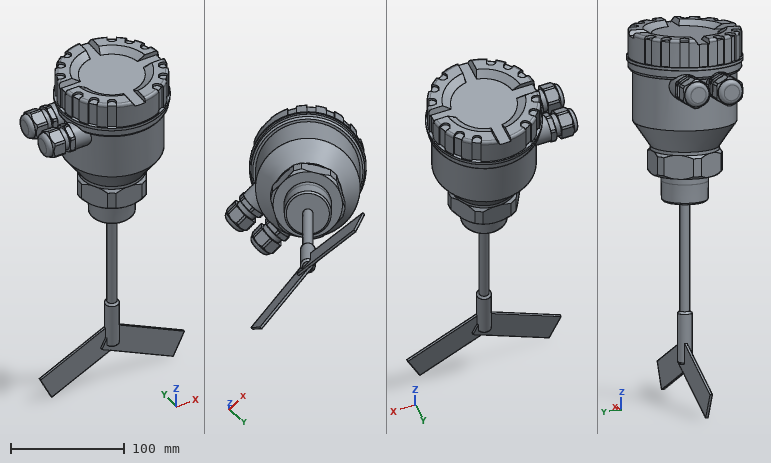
import cadquery as cq
import math


top_z = 338.3
cap_radius = 50.0
cap_edge = 2.7
flange_radius = 51.5
flange_top_z = 313.5
flange_bottom_z = 311.0
collar_bottom_z = 304.5
collar_taper_radius = 48.5
body_top_z = 302.0
body_radius = 46.0
cone_top_z = 255.8
neck_radius = 30.5
neck_top_z = 233.0

recess_depth = 4.5
recess_floor_radius = 29.5
recess_rim_radius = 37.0
cap_slot_half_width = 5.0
cap_slot_side_lean = 2.7
cap_slot_count = 4

groove_radius = 4.0
groove_axis_radius = 45.7
groove_pitch_angle = 20
grooves_per_side = 7
groove_floor_radius = 48.5
notch_depth = 2.5

hex_top_z = 230.0
hex_bottom_z = 208.7
hex_across_flats = 60.5
hex_across_cut_corners = 65.5
hex_edge = hex_across_cut_corners / 2 - neck_radius
thread_radius = 21.0
thread_taper_top_z = 201.5
thread_end_radius = 20.5
thread_edge = 1.7
thread_bottom_z = 183.5

shaft_radius = 4.57
holder_radius = 6.6
holder_edge = holder_radius - shaft_radius
holder_top_z = 84.0
holder_bottom_z = 36.2

blade_length = 80.5
blade_width = 26.0
blade_thickness = 2.5
blade_droop_angle = 26
blade_tip_x = 72.5

gland_z = 295.5
gland_offset_y = 15.5
gland_tip_x = -79.5
cap_nut_start_x = -75.0
cap_nut_end_x = -63.0
gland_hex_start_x = -58.0
gland_hex_end_x = -52.8
gland_across_flats = 24.0
gland_across_cut_corners = 26.5
cap_nut_edge = 1.7
gland_hex_edge = 0.7
gland_tip_radius = 7.0
gland_dome_radius = 11.0
gland_dome_middle = (10.0, 1.5)
gland_neck_radius = 10.0
gland_boss_radius = 12.2


def revolved(profile):
    """Solid of revolution about Z from (radius, z) points, closed along the axis."""
    points = [(0, profile[0][1])] + profile + [(0, profile[-1][1])]
    return cq.Workplane("XZ").polyline(points).close().revolve(360, (0, 0), (0, 1))


def hexagon(across_flats, across_cut_corners, height, top_edge, bottom_edge):
    """Hexagonal prism on Z = 0, corners toward +-X cut flat, end corners bevelled by cones."""
    flats = cq.Workplane("XY").polygon(6, across_flats / math.cos(math.pi / 6)).extrude(height)
    corner_cuts = (
        cq.Workplane("XY")
        .polygon(6, across_cut_corners / math.cos(math.pi / 6))
        .extrude(height)
        .rotate((0, 0, 0), (0, 0, 1), 30)
    )
    tip_radius = across_cut_corners / 2
    limit = revolved([
        (tip_radius - bottom_edge, 0),
        (tip_radius + height, height + bottom_edge),
    ]).intersect(revolved([
        (tip_radius + height, -top_edge),
        (tip_radius - top_edge, height),
    ]))
    return flats.intersect(corner_cuts).intersect(limit)


def housing():
    return revolved([
        (neck_radius, hex_top_z),
        (neck_radius, neck_top_z),
        (body_radius, cone_top_z),
        (body_radius, body_top_z),
        (collar_taper_radius, body_top_z),
        (cap_radius, collar_bottom_z),
        (cap_radius, flange_bottom_z),
        (flange_radius, flange_bottom_z),
        (flange_radius, flange_top_z),
        (cap_radius, flange_top_z),
        (cap_radius, top_z - cap_edge),
        (cap_radius, top_z),
    ]).faces(">Z").edges().fillet(cap_edge)


def cap_recess():
    """Dished round recess, crossed by slots that each have one leaning side."""
    floor_z = top_z - recess_depth
    cut = revolved([(recess_floor_radius, floor_z), (recess_rim_radius, top_z)])
    slot = (
        cq.Workplane("XZ")
        .polyline([
            (-cap_slot_half_width, floor_z),
            (cap_slot_half_width, floor_z),
            (cap_slot_half_width, top_z),
            (-cap_slot_half_width - cap_slot_side_lean, top_z),
        ])
        .close()
        .extrude(flange_radius)
    )
    for index in range(cap_slot_count):
        cut = cut.union(slot.rotate((0, 0, 0), (0, 0, 1), index * 360 / cap_slot_count))
    return cut


def finger_groove():
    """Shallow groove in the cap side, ending at the top in a deeper round-ended notch."""
    notch = slot_to_rim(groove_axis_radius, top_z - notch_depth)
    notch = notch.union(
        cq.Workplane("XY", origin=(groove_axis_radius, 0, top_z - notch_depth))
        .circle(groove_radius)
        .extrude(notch_depth)
    )
    return notch.union(slot_to_rim(groove_floor_radius, flange_top_z))


def slot_to_rim(inner_radius, floor_z):
    """Block along +X, as wide as a groove, from a radius outward and a level up to the top."""
    return (
        cq.Workplane("XY", origin=((inner_radius + flange_radius) / 2, 0, floor_z))
        .rect(flange_radius - inner_radius, 2 * groove_radius)
        .extrude(top_z - floor_z)
    )


def finger_grooves():
    groove = finger_groove()
    grooves = cq.Workplane("XY")
    middle = (grooves_per_side - 1) / 2
    for side in (0, 180):
        for index in range(grooves_per_side):
            angle = side + (index - middle) * groove_pitch_angle
            grooves = grooves.add(groove.rotate((0, 0, 0), (0, 0, 1), angle))
    return grooves.combine()


def process_connection():
    """Hexagon with flattened corners above a tapered threaded end."""
    nut = hexagon(
        hex_across_flats,
        hex_across_cut_corners,
        hex_top_z - hex_bottom_z,
        hex_edge,
        hex_edge,
    )
    threaded_end = revolved([
        (thread_end_radius - thread_edge, thread_bottom_z),
        (thread_end_radius, thread_bottom_z + thread_edge),
        (thread_radius, thread_taper_top_z),
        (thread_radius, hex_bottom_z),
    ])
    return nut.translate((0, 0, hex_bottom_z)).union(threaded_end)


def shaft():
    """Shaft down to the chamfered blade holder."""
    return revolved([
        (shaft_radius, holder_bottom_z),
        (holder_radius, holder_bottom_z + holder_edge),
        (holder_radius, holder_top_z - holder_edge),
        (shaft_radius, holder_top_z),
        (shaft_radius, thread_bottom_z),
    ])


def blades():
    """Two flat blades drooping to either side, back to back on the plane Y = 0."""
    droop = math.radians(blade_droop_angle)
    lowest_corner_x = blade_tip_x - blade_width * math.sin(droop)
    right_blade = (
        cq.Workplane("XY")
        .box(blade_length, blade_thickness, blade_width, centered=False)
        .translate((-blade_length, -blade_thickness, 0))
        .rotate((0, 0, 0), (0, 1, 0), blade_droop_angle)
        .translate((lowest_corner_x, 0, 0))
    )
    left_blade = right_blade.rotate((0, 0, 0), (0, 0, 1), 180)
    return right_blade.union(left_blade)


def gland():
    """Cable gland along Z from its tip at Z = 0 to inside the housing."""
    cap_nut_start = cap_nut_start_x - gland_tip_x
    cap_nut_end = cap_nut_end_x - gland_tip_x
    hex_start = gland_hex_start_x - gland_tip_x
    hex_end = gland_hex_end_x - gland_tip_x
    boss_end = -neck_radius - gland_tip_x
    core = (
        cq.Workplane("XZ")
        .lineTo(gland_tip_radius, 0)
        .threePointArc(gland_dome_middle, (gland_dome_radius, cap_nut_start))
        .lineTo(gland_dome_radius, cap_nut_end)
        .lineTo(gland_neck_radius, cap_nut_end)
        .lineTo(gland_neck_radius, hex_end)
        .lineTo(gland_boss_radius, hex_end)
        .lineTo(gland_boss_radius, boss_end)
        .lineTo(0, boss_end)
        .close()
        .revolve(360, (0, 0), (0, 1))
    )
    cap_nut = hexagon(
        gland_across_flats, gland_across_cut_corners, cap_nut_end - cap_nut_start, 0, cap_nut_edge
    )
    body_hex = hexagon(
        gland_across_flats, gland_across_cut_corners, hex_end - hex_start, 0, gland_hex_edge
    )
    return (
        core
        .union(cap_nut.translate((0, 0, cap_nut_start)))
        .union(body_hex.translate((0, 0, hex_start)))
    )


def cable_glands():
    lying_gland = gland().rotate((0, 0, 0), (0, 1, 0), 90)
    back = lying_gland.translate((gland_tip_x, gland_offset_y, gland_z))
    front = lying_gland.translate((gland_tip_x, -gland_offset_y, gland_z))
    return back.union(front)


result = (
    housing()
    .union(cable_glands())
    .union(process_connection())
    .union(shaft())
    .union(blades())
    .cut(cap_recess())
    .cut(finger_grooves())
)